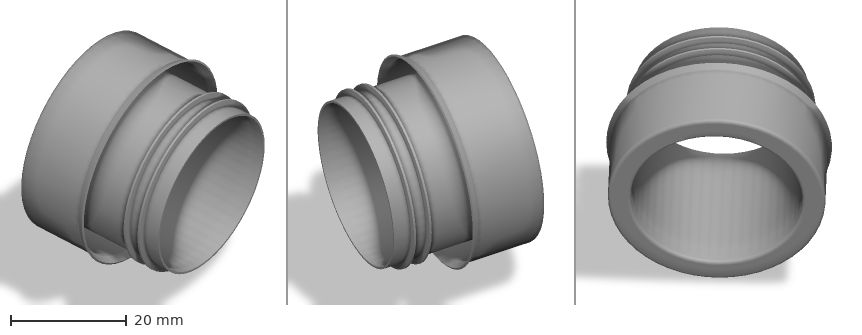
import cadquery as cq
import math

length = 27.3
wall = 0.4
bore_radius = 29.7 / 2
tube_radius = bore_radius + wall
sleeve_radius = 37.6 / 2
sleeve_inner_radius = sleeve_radius - wall
bend_radius = 0.62
inner_bend_radius = bend_radius - wall

lip_radius = 39.0 / 2
lip_start = 12.7
lip_angle = math.radians(30)

rib_radius = 32.7 / 2
rib_base_width = 0.95
rib_tip_width = 0.4
first_rib_center = 20.8
rib_pitch = 3.0
rib_count = 2
rib_root_overlap = wall / 2


def revolve_about_x(profile):
    """Turn a closed profile of (axial, radial) points around the X axis."""
    return profile.close().revolve(360, (0, 0, 0), (1, 0, 0))


def make_shell():
    lip_tip = lip_start + (lip_radius - sleeve_radius) / math.tan(lip_angle)
    lip_end = lip_tip + wall * math.sin(lip_angle)
    lip_end_radius = lip_radius - wall * math.cos(lip_angle)
    inner_lip_start = lip_start + wall * math.tan(lip_angle / 2)

    outer_center = sleeve_radius - bend_radius
    inner_center = bore_radius + bend_radius
    convex_mid = bend_radius * math.sqrt(0.5)
    concave_mid = inner_bend_radius * math.sqrt(0.5)

    profile = (
        cq.Workplane("XY")
        .moveTo(length, bore_radius)
        .lineTo(bend_radius, bore_radius)
        .threePointArc((bend_radius - convex_mid, inner_center - convex_mid), (0, inner_center))
        .lineTo(0, outer_center)
        .threePointArc(
            (bend_radius - convex_mid, outer_center + convex_mid), (bend_radius, sleeve_radius)
        )
        .lineTo(lip_start, sleeve_radius)
        .lineTo(lip_tip, lip_radius)
        .lineTo(lip_end, lip_end_radius)
        .lineTo(inner_lip_start, sleeve_inner_radius)
        .lineTo(bend_radius, sleeve_inner_radius)
        .threePointArc((bend_radius - concave_mid, outer_center + concave_mid), (wall, outer_center))
        .lineTo(wall, inner_center)
        .threePointArc(
            (bend_radius - concave_mid, inner_center - concave_mid), (bend_radius, tube_radius)
        )
        .lineTo(length, tube_radius)
    )
    return revolve_about_x(profile)


def make_rib(center):
    half_base = rib_base_width / 2
    half_tip = rib_tip_width / 2
    root_radius = tube_radius - rib_root_overlap
    profile = cq.Workplane("XY").polyline([
        (center - half_base, root_radius),
        (center - half_base, tube_radius),
        (center - half_tip, rib_radius),
        (center + half_tip, rib_radius),
        (center + half_base, tube_radius),
        (center + half_base, root_radius),
    ])
    return revolve_about_x(profile)


result = make_shell()
for index in range(rib_count):
    result = result.union(make_rib(first_rib_center + index * rib_pitch))